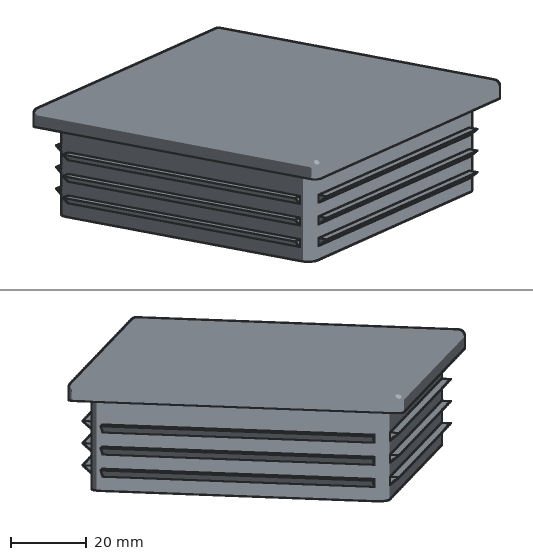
import cadquery as cq

cap_side = 90.0
cap_thickness = 5.0
cap_edge_radius = 2.0

total_height = 30.0
cap_overhang = 5.0
plug_corner_radius = 3.0
plug_side = cap_side - 2 * cap_overhang
plug_height = total_height - cap_thickness

fin_reach = 2.5
fin_height = 2.2
lowest_fin_top = 6.0
fin_pitch = 5.9
fin_count = 3
fin_end_gap = 0.5
fin_length = plug_side - 2 * (plug_corner_radius + fin_end_gap)
fin_root_overlap = 0.45


def make_plug():
    plug = cq.Workplane("XY").rect(plug_side, plug_side).extrude(plug_height)
    return plug.edges("|Z").fillet(plug_corner_radius)


def make_cap():
    cap = cq.Workplane("XY").workplane(offset=plug_height)
    cap = cap.rect(cap_side, cap_side).extrude(cap_thickness)
    return cap.edges("|Z or >Z").fillet(cap_edge_radius)


def make_fin(top_z):
    """Triangular fin along Y on the +X side, with its root sunk into the plug."""
    face_x = plug_side / 2
    root_x = face_x - fin_root_overlap
    profile = [
        (root_x, top_z),
        (face_x + fin_reach, top_z),
        (face_x, top_z - fin_height),
        (root_x, top_z - fin_height),
    ]
    return cq.Workplane("XZ").polyline(profile).close().extrude(fin_length / 2, both=True)


result = make_plug().union(make_cap())
for level in range(fin_count):
    fin = make_fin(lowest_fin_top + level * fin_pitch)
    for angle in (0, 90, 180, 270):
        result = result.union(fin.rotate((0, 0, 0), (0, 0, 1), angle))